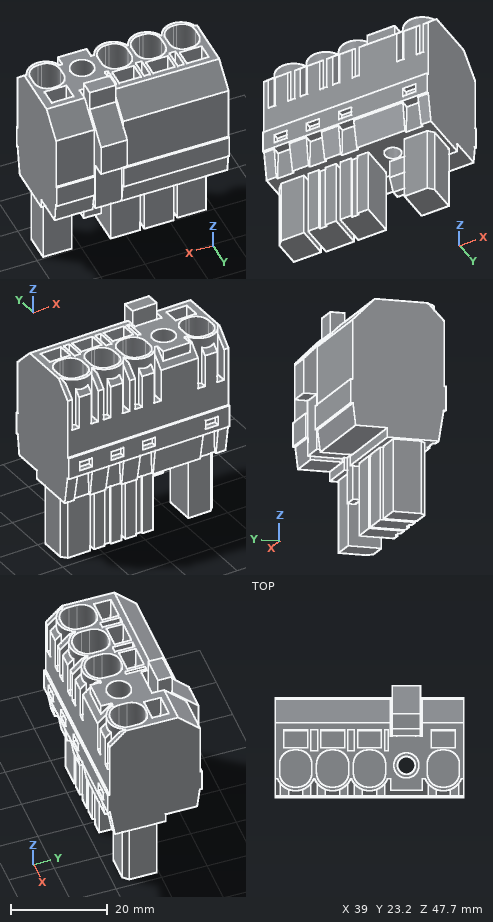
import cadquery as cq


pitch = 7.65
wire_poles = [-2 * pitch, -pitch, 0, 2 * pitch]
inner_poles = [-pitch, 0]
outer_poles = [-2 * pitch, 2 * pitch]
flange_x = pitch

length = 39.0
band_depth = 20.7
band_step = 0.4
wall_front = band_step
wall_back = band_depth - band_step
shell_top = 44.8
shell_bottom = 15.45
band_top = 27.3
band_bottom = 22.2
front_chamfer = 3.6
back_chamfer = 4.85
taper_top_inset = 0.5
front_taper_bottom = 1.57
back_taper_bottom = 19.65
step_z = 17.45
step_y = 12.75

top_floor = 33.72

entry_width = 6.7
entry_front = 2.2
entry_back = 9.87
entry_corner_radius = 2.95
collar_radius = 4.05
collar_front = 1.45
slot_inner = 1.5
slot_outer = 3.15

pocket_width = 4.95
pocket_front = 10.35
pocket_back = 14.05
pocket_back_lean = 0.2
relief_width = 1.4
relief_front = 9.7
relief_back = pocket_back
relief_wall = 0.52

flange_width = 6.55
flange_front = 1.57
screw_y = 6.7
screw_diameter = 3.63
screw_head_diameter = 5.2

window_width = 3.0
window_bottom = 23.4
window_top = 25.45
window_depth = 1.3
recess_top_width = 3.6
recess_bottom_width = 3.85
recess_back = 2.15

plug_width = 6.7
plug_front = 3.9
inner_plug_back = 11.55
outer_plug_back = 11.15
groove_width = 1.55
groove_depth = 0.52
plug_trim = 0.2
plug_chamfer_x = 1.1
plug_chamfer_y = 1.15

latch_width = 5.9
latch_slot_front = 12.8
latch_top = 47.7
tab_front = 14.2
tab_back = 17.35
ramp_top = 43.05
latch_back = 23.2
ramp_bottom = ramp_top - (latch_back - tab_back)
grip_bottom = 29.9
latch_bottom = 18.13
foot_top = band_bottom
hook_width = 3.95
hook_front = 8.8
hook_back = 12.1
hook_bottom = 8.35
hook_taper_top = 11.15
hook_tip_front = 10.35


def block(x_min, x_max, y_min, y_max, z_min, z_max):
    """Box given by its limits along each axis."""
    size = (x_max - x_min, y_max - y_min, z_max - z_min)
    return cq.Workplane("XY").box(*size, centered=False).translate((x_min, y_min, z_min))


def centred_block(x, width, y_min, y_max, z_min, z_max):
    """Box of the given width, centred on x."""
    return block(x - width / 2, x + width / 2, y_min, y_max, z_min, z_max)


def side_prism(points, x, width):
    """Prism with a (y, z) outline, centred on x."""
    return cq.Workplane("YZ", origin=(x - width / 2, 0, 0)).polyline(points).close().extrude(width)


def cylinder(x, y, diameter, z_min):
    """Vertical cylinder from z_min up to the top of the housing."""
    return cq.Workplane("XY", origin=(x, y, z_min)).circle(diameter / 2).extrude(shell_top - z_min)


def shell():
    """Housing body without its details, the same outline along the whole row."""
    outline = [
        (wall_front + front_chamfer, shell_top),
        (wall_front, shell_top - front_chamfer),
        (wall_front, band_top),
        (0, band_top),
        (0, band_bottom),
        (taper_top_inset, band_bottom),
        (front_taper_bottom, shell_bottom),
        (step_y, shell_bottom),
        (step_y, step_z),
        (back_taper_bottom, step_z),
        (band_depth - taper_top_inset, band_bottom),
        (band_depth, band_bottom),
        (band_depth, band_top),
        (wall_back, band_top),
        (wall_back, shell_top - back_chamfer),
        (wall_back - back_chamfer, shell_top),
    ]
    return side_prism(outline, 0, length)


def add_collar(body, x):
    """Solid collar for a wire entry, freed at the front by a slot on each side."""
    collar_y = collar_front + collar_radius
    for left, right in [(-slot_outer, -slot_inner), (slot_inner, slot_outer)]:
        body = body.cut(block(x + left, x + right, 0, collar_y, top_floor, shell_top))
    return body.union(cylinder(x, collar_y, 2 * collar_radius, top_floor))


def wire_hole(x):
    """Rectangular hole with corners so large that only short flats remain."""
    hole = centred_block(x, entry_width, entry_front, entry_back, top_floor, shell_top)
    return hole.edges("|Z").fillet(entry_corner_radius)


def test_pocket(x):
    """Pocket behind a wire entry, its back wall leaning forward towards the floor."""
    outline = [
        (pocket_front, shell_top),
        (pocket_back, shell_top),
        (pocket_back - pocket_back_lean, top_floor),
        (pocket_front, top_floor),
    ]
    return side_prism(outline, x, pocket_width)


def relief_pocket(x):
    """Narrow pocket midway between two poles, kept clear of the latch slot."""
    x_min = x - relief_width / 2
    x_max = min(x + relief_width / 2, flange_x - flange_width / 2 - relief_wall)
    return block(x_min, x_max, relief_front, relief_back, top_floor, shell_top)


def front_recess(x):
    """Recess in the tapered lower front, slightly wider at the bottom."""
    top = recess_top_width / 2
    bottom = recess_bottom_width / 2
    outline = [
        (x - top, band_bottom),
        (x + top, band_bottom),
        (x + bottom, shell_bottom),
        (x - bottom, shell_bottom),
    ]
    return cq.Workplane("XZ").polyline(outline).close().extrude(-recess_back)


def inner_plug(x):
    """Plug with a coding groove down the middle of its front."""
    plug = centred_block(x, plug_width, plug_front, inner_plug_back, 0, shell_bottom)
    return plug.cut(centred_block(x, groove_width, plug_front, plug_front + groove_depth, 0, shell_bottom))


def outer_plug(x):
    """Plug whose outward front corner is chamfered."""
    outward = 1 if x > 0 else -1
    inner_x = x - outward * plug_width / 2
    outer_x = x + outward * (plug_width / 2 - plug_trim)
    outline = [
        (inner_x, plug_front),
        (outer_x - outward * plug_chamfer_x, plug_front),
        (outer_x, plug_front + plug_chamfer_y),
        (outer_x, outer_plug_back),
        (inner_x, outer_plug_back),
    ]
    return cq.Workplane("XY").polyline(outline).close().extrude(shell_bottom)


def hook_channel():
    """Opening in the housing floor that the latch hook fills."""
    return centred_block(flange_x, hook_width, hook_front, latch_slot_front, shell_bottom, foot_top)


def make_housing():
    """Shell with collars, flange block and plugs added, then all holes and recesses cut."""
    body = shell()
    for x in wire_poles:
        body = add_collar(body, x)
    body = body.union(
        centred_block(flange_x, flange_width, flange_front, latch_slot_front, top_floor, shell_top)
    )
    for x in inner_poles:
        body = body.union(inner_plug(x))
    for x in outer_poles:
        body = body.union(outer_plug(x))
    for x in wire_poles:
        body = body.cut(wire_hole(x))
        body = body.cut(test_pocket(x))
        body = body.cut(centred_block(x, window_width, 0, window_depth, window_bottom, window_top))
        body = body.cut(front_recess(x))
    for x in wire_poles[:-1]:
        body = body.cut(relief_pocket(x + pitch / 2))
    body = body.cut(cylinder(flange_x, screw_y, screw_diameter, 0))
    body = body.cut(cylinder(flange_x, screw_y, screw_head_diameter, top_floor))
    body = body.cut(
        centred_block(flange_x, flange_width, latch_slot_front, band_depth, shell_bottom, shell_top)
    )
    return body.cut(hook_channel())


def make_latch():
    """Lever in the slot at the back, with a foot and a hook reaching down through the housing floor."""
    lever = [
        (tab_front, latch_top),
        (tab_back, latch_top),
        (tab_back, ramp_top),
        (latch_back, ramp_bottom),
        (latch_back, grip_bottom),
        (wall_back, grip_bottom),
        (wall_back, latch_bottom),
        (latch_slot_front, latch_bottom),
        (latch_slot_front, foot_top),
        (tab_front, foot_top),
    ]
    hook = [
        (latch_slot_front, foot_top),
        (latch_slot_front, latch_bottom),
        (hook_back, latch_bottom),
        (hook_back, hook_bottom),
        (hook_tip_front, hook_bottom),
        (hook_front, hook_taper_top),
        (hook_front, foot_top),
    ]
    return side_prism(lever, flange_x, latch_width).union(side_prism(hook, flange_x, hook_width))


housing = make_housing()
latch = make_latch()
result = cq.Compound.makeCompound([housing.val(), latch.val()])